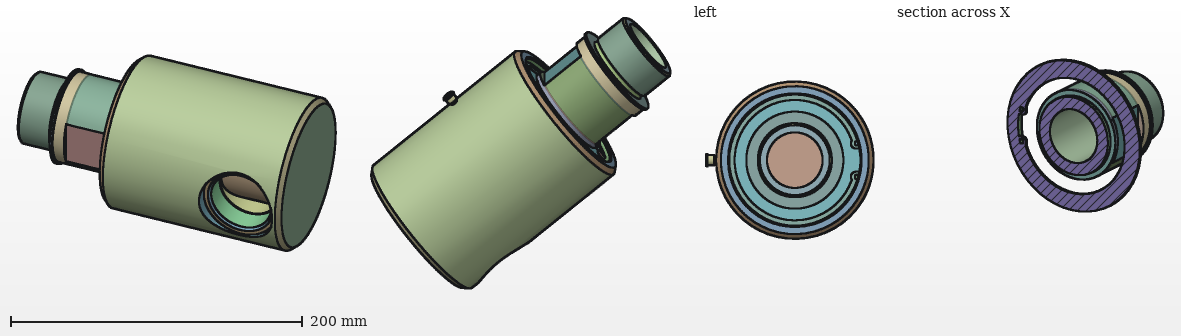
import cadquery as cq

total_length = 205.0
thread_end = 23.5
flange_start = 27.3
flange_end = 29.0
relief_start = 37.1
relief_end = 69.7
body_start = 71.0
collar_end = 73.0

thread_diameter = 50.9
neck_diameter = 48.2
flange_diameter = 66.6
collar_diameter = 64.0
relief_diameter = 63.8
relief_taper_length = 0.6
journal_diameter = 56.2
thread_chamfer = 1.5
thread_runout_chamfer = 0.6
shaft_bore_diameter = 38.1
wrench_size = 55.0

body_diameter = 108.0
body_chamfer_length = 3.7
body_chamfer_height = 3.3

recess_diameter = 90.0
recess_depth = 6.2
recess_lip_chamfer = 0.8
ring_inner_diameter = 82.6
ring_face_depth = 4.0
ear_diameter = 7.2
ear_hole_diameter = 3.0
ear_y = -42.0
ear_hole_y = -42.7
ear_z = 11.5

port_x = 172.5
spotface_diameter = 54.0
spotface_y = -45.1
port_mouth_diameter = 47.8
port_thread_diameter = 44.3
port_thread_depth = 17.5
port_bore_diameter = 43.3
inner_tube_diameter = 50.7

nipple_x = 128.0
nipple_height = 7.0
nipple_tip_y = body_diameter / 2 + nipple_height
nipple_root_y = 53.3
nipple_shoulder_y = 55.5
nipple_neck_y = 54.1
nipple_head_height = 1.2
nipple_head_diameter = 8.6
nipple_head_bevel_width = 0.5
nipple_head_bevel_height = 1.0
nipple_diameter = 7.2
nipple_neck_diameter = 4.7


def cylinder_x(diameter, start, end):
    """Cylinder on the X axis between two stations."""
    return cq.Workplane("YZ", origin=(start, 0, 0)).circle(diameter / 2).extrude(end - start)


def make_shaft():
    """Threaded end, neck, flange and collar with two wrench flats."""
    thread_radius = thread_diameter / 2
    neck_radius = neck_diameter / 2
    collar_radius = collar_diameter / 2
    relief_radius = relief_diameter / 2
    recess_floor = body_start + recess_depth
    runout_x = thread_end + thread_runout_chamfer
    runout_radius = thread_radius - thread_runout_chamfer
    groove_middle = ((runout_x + flange_start) / 2, neck_radius)
    groove_end = (flange_start, runout_radius)
    shaft = (
        cq.Workplane("XY")
        .moveTo(0, 0)
        .lineTo(0, thread_radius - thread_chamfer)
        .lineTo(thread_chamfer, thread_radius)
        .lineTo(thread_end, thread_radius)
        .lineTo(runout_x, runout_radius)
        .threePointArc(groove_middle, groove_end)
        .lineTo(flange_start, flange_diameter / 2)
        .lineTo(flange_end, flange_diameter / 2)
        .lineTo(flange_end, collar_radius)
        .lineTo(relief_start, collar_radius)
        .lineTo(relief_start + relief_taper_length, relief_radius)
        .lineTo(relief_end - relief_taper_length, relief_radius)
        .lineTo(relief_end, collar_radius)
        .lineTo(collar_end, collar_radius)
        .lineTo(collar_end, journal_diameter / 2)
        .lineTo(recess_floor, journal_diameter / 2)
        .lineTo(recess_floor, 0)
        .close()
        .revolve(360, (0, 0, 0), (1, 0, 0))
    )
    flat_length = relief_end - relief_start
    flat_middle = (relief_start + relief_end) / 2
    flat_stock = cq.Workplane("XY").box(flat_length, collar_diameter, collar_diameter)
    flat_offset = (wrench_size + collar_diameter) / 2
    for side in (1, -1):
        shaft = shaft.cut(flat_stock.translate((flat_middle, side * flat_offset, 0)))
    return shaft


def make_body():
    """Chamfered cylinder with a shallow recess in its front face."""
    radius = body_diameter / 2
    face_radius = radius - body_chamfer_height
    recess_radius = recess_diameter / 2
    recess_floor = body_start + recess_depth
    profile = [
        (recess_floor, 0),
        (recess_floor, recess_radius),
        (body_start + recess_lip_chamfer, recess_radius),
        (body_start, recess_radius + recess_lip_chamfer),
        (body_start, face_radius),
        (body_start + body_chamfer_length, radius),
        (total_length - body_chamfer_length, radius),
        (total_length, face_radius),
        (total_length, 0),
    ]
    return cq.Workplane("XY").polyline(profile).close().revolve(360, (0, 0, 0), (1, 0, 0))


def make_retaining_ring():
    """Open ring with two rounded ears, each with a plier hole, gap towards -Y."""
    start = body_start + ring_face_depth
    end = body_start + recess_depth
    thickness = end - start
    rim = cylinder_x(recess_diameter, start, end)
    ring = rim.cut(cylinder_x(ring_inner_diameter, start, end))
    reach = recess_diameter / 2
    gap = cq.Workplane("XY").box(thickness, reach, 2 * ear_z).translate(
        ((start + end) / 2, -reach, 0)
    )
    ring = ring.cut(gap)
    plane = cq.Workplane("YZ", origin=(start, 0, 0))
    for side in (1, -1):
        ear = plane.center(ear_y, side * ear_z).circle(ear_diameter / 2).extrude(thickness)
        tab_width = reach + ear_y
        tab_y = ear_y - tab_width / 2
        tab = plane.center(tab_y, side * ear_z).rect(tab_width, ear_diameter).extrude(thickness)
        hole = plane.center(ear_hole_y, side * ear_z).circle(ear_hole_diameter / 2).extrude(thickness)
        ring = ring.union(ear.union(tab).intersect(rim)).cut(hole)
    return ring


def make_port_cutter():
    """Spotface, chamfered mouth and stepped bore, ending on the round inner tube."""
    mouth_step = (port_mouth_diameter - port_thread_diameter) / 2
    thread_end_y = spotface_y + port_thread_depth
    profile = [
        (0, -body_diameter / 2),
        (spotface_diameter / 2, -body_diameter / 2),
        (spotface_diameter / 2, spotface_y),
        (port_mouth_diameter / 2, spotface_y),
        (port_thread_diameter / 2, spotface_y + mouth_step),
        (port_thread_diameter / 2, thread_end_y),
        (port_bore_diameter / 2, thread_end_y),
        (port_bore_diameter / 2, 0),
        (0, 0),
    ]
    cutter = cq.Workplane("XY").polyline(profile).close().revolve(360, (0, 0, 0), (0, 1, 0))
    tube = cylinder_x(inner_tube_diameter, body_start, total_length)
    return cutter.translate((port_x, 0, 0)).cut(tube)


def make_nipple():
    """Grease nipple turned about Y: narrow neck, barrel and bevelled head."""
    head_radius = nipple_head_diameter / 2
    barrel_radius = nipple_diameter / 2
    neck_radius = nipple_neck_diameter / 2
    head_base_y = nipple_tip_y - nipple_head_height
    profile = [
        (0, nipple_root_y),
        (neck_radius, nipple_root_y),
        (neck_radius, nipple_neck_y),
        (barrel_radius, nipple_shoulder_y),
        (barrel_radius, head_base_y),
        (head_radius, head_base_y),
        (head_radius, nipple_tip_y - nipple_head_bevel_height),
        (head_radius - nipple_head_bevel_width, nipple_tip_y),
        (0, nipple_tip_y),
    ]
    nipple = cq.Workplane("XY").polyline(profile).close().revolve(360, (0, 0, 0), (0, 1, 0))
    return nipple.translate((nipple_x, 0, 0))


shaft_bore = cylinder_x(shaft_bore_diameter, 0, port_x)

result = (
    make_body()
    .cut(make_port_cutter())
    .union(make_retaining_ring())
    .union(make_shaft())
    .union(make_nipple())
    .cut(shaft_bore)
)